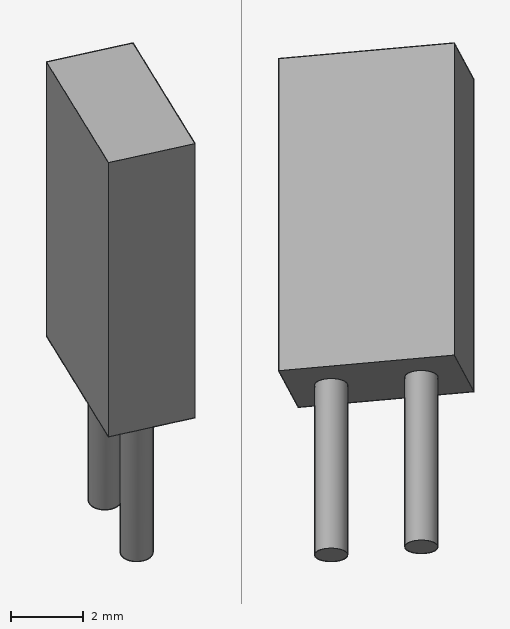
import cadquery as cq

HOUSING_WIDTH = 4.95
HOUSING_DEPTH = 2.54
TOTAL_HEIGHT = 14.5

LEAD_DIAMETER = 0.91
LEAD_LENGTH = 5.1
LEAD_PITCH = 2.54

HOUSING_HEIGHT = TOTAL_HEIGHT - LEAD_LENGTH


def make_housing():
    """Plain rectangular block standing on the Z = 0 plane."""
    return cq.Workplane("XY").box(
        HOUSING_WIDTH, HOUSING_DEPTH, HOUSING_HEIGHT, centered=(True, True, False)
    )


def make_lead(x):
    """Straight round lead running down from the housing underside at the given X."""
    return cq.Workplane("XY").center(x, 0).circle(LEAD_DIAMETER / 2).extrude(-LEAD_LENGTH)


housing = make_housing()
leads = [make_lead(side * LEAD_PITCH / 2) for side in (-1, 1)]

result = cq.Compound.makeCompound([housing.val(), *[lead.val() for lead in leads]])